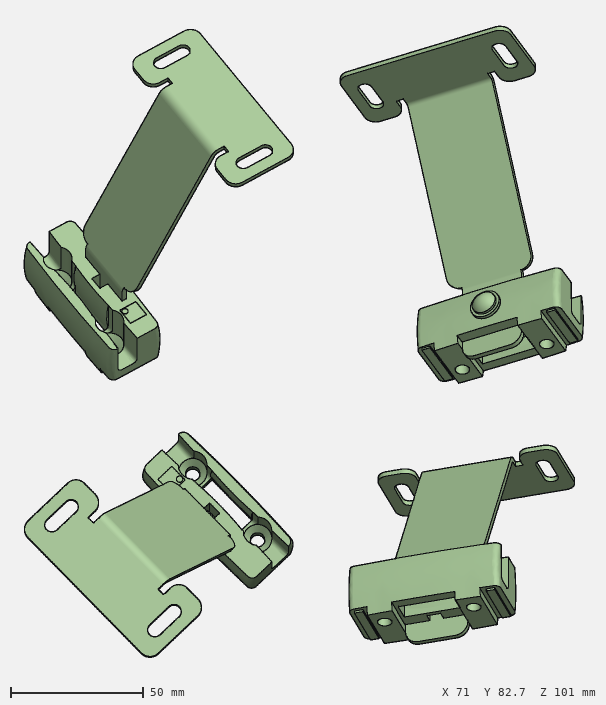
import cadquery as cq
import math


SHEET = 2.0
PLATE_TOP = 92.5
PLATE_WIDTH = 71.0
PLATE_DEPTH = 29.9
PLATE_BACK = 63.7
PLATE_CORNER = 4.5
PLATE_SLOT_WIDTH = 5.5
PLATE_SLOT_LENGTH = 15.6
PLATE_SLOT_X = 28.1
RELIEF_WIDTH = 2.9
RELIEF_TOP = 42.0
ARM_WIDTH = 35.4
ARM_TILT = 29.7
ARM_CORNER = 5.1
ARM_SETBACK = 0.7
TAB_WIDTH = 24.7
TAB_BOTTOM = -8.5
TAB_BEND_Z = 24.6
TAB_CORNER = 5.1
BEND_RADIUS = 3.0

HOUSING_LENGTH = 60.0
HOUSING_TOP = 19.4
HOUSING_FRONT = -19.0
HOUSING_BACK = 6.3
BULGE_Z = 8.9
FRONT_BULGE_RADIUS = 45.5
BACK_BULGE_RADIUS = 50.5
PLAN_RADIUS = 656.6
HOUSING_CORNER = 2.4
FOOT_HEIGHT = 3.3
FOOT_INNER = 12.5
FOOT_OUTER = 22.4
PAD_HEIGHT = 0.9
PAD_INNER = 24.4
PAD_OUTER = 27.9
PAD_FRONT = -16.2
PAD_BACK = 4.1

CHANNEL_Y = -10.2
CHANNEL_FLOOR = 4.4
CHANNEL_END_WIDTH = 8.7
CHANNEL_WALL_RADIUS = 707.1
CHANNEL_FILLET = 1.9
WINDOW_LENGTH = 22.2
WINDOW_TOP_WIDTH = 6.7
WINDOW_WAIST = 5.3
WINDOW_FLOOR_WIDTH = 7.7
WINDOW_PLAN_RADIUS = 151.5
MOUNT_HOLE_X = 17.7
MOUNT_HOLE_DIAMETER = 5.5
COUNTERSINK_DIAMETER = 10.8

POCKET_WIDTH = 5.5
POCKET_FRONT = -4.6

MARKER_SIZE = 7.3
MARKER_X = 19.2
MARKER_Y = -0.5
MARKER_HEIGHT = 0.2
DOT_DIAMETER = 2.4
DOT_X = 17.2
DOT_Y = -2.8
DOT_HEIGHT = 0.4

SCREW_Z = 9.6
SHANK_DIAMETER = 5.0
SHANK_END = -3.2
HEAD_DIAMETER = 9.6
HEAD_RIM = 1.0
HEAD_END = 11.0
WASHER_DIAMETER = 12.0
WASHER_SEAT = 6.1
WASHER_OUTER = 7.4

HALF_SHEET = SHEET / 2
TILT = math.radians(ARM_TILT)
TURN = math.radians(90 - ARM_TILT)
INNER_BEND = BEND_RADIUS - HALF_SHEET
OUTER_BEND = BEND_RADIUS + HALF_SHEET
FOOT_BOTTOM = -FOOT_HEIGHT

LOWER_BEND_Y = BEND_RADIUS
UPPER_BEND_Z = PLATE_TOP - HALF_SHEET - BEND_RADIUS
LOWER_ARM_Y = LOWER_BEND_Y - BEND_RADIUS * math.cos(TILT)
LOWER_ARM_Z = TAB_BEND_Z + BEND_RADIUS * math.sin(TILT)
UPPER_ARM_Z = UPPER_BEND_Z + BEND_RADIUS * math.cos(TURN)
ARM_LENGTH = (UPPER_ARM_Z - LOWER_ARM_Z) / math.cos(TILT)
UPPER_ARM_Y = LOWER_ARM_Y + ARM_LENGTH * math.sin(TILT)
UPPER_BEND_Y = UPPER_ARM_Y + BEND_RADIUS * math.sin(TURN)


def box(x0, x1, y0, y1, z0, z1):
    """Box between two opposite corners."""
    return cq.Workplane("XY").box(x1 - x0, y1 - y0, z1 - z0, centered=False).translate((x0, y0, z0))


def cylinder_y(diameter, y0, y1):
    """Cylinder on the screw axis, from y0 to y1."""
    return (
        cq.Workplane("XZ", origin=(0, y0, SCREW_Z))
        .circle(diameter / 2)
        .extrude(y0 - y1)
    )


def mounting_plate():
    """Flat slotted plate, with two rounded ears beside the bend reliefs."""
    front = PLATE_BACK - PLATE_DEPTH
    bottom = PLATE_TOP - SHEET
    half = PLATE_WIDTH / 2
    plate = box(-half, half, front, PLATE_BACK, bottom, PLATE_TOP)
    gap_half = ARM_WIDTH / 2 + RELIEF_WIDTH
    plate = plate.cut(box(-gap_half, gap_half, front, RELIEF_TOP, bottom, PLATE_TOP))
    plate = plate.edges("|Z").edges("<X or >X or <Y").fillet(PLATE_CORNER)
    neck_half = ARM_WIDTH / 2
    plate = plate.union(box(-neck_half, neck_half, UPPER_BEND_Y, RELIEF_TOP, bottom, PLATE_TOP))
    slots = (
        cq.Workplane("XY", origin=(0, PLATE_BACK - PLATE_DEPTH / 2, bottom))
        .pushPoints([(-PLATE_SLOT_X, 0), (PLATE_SLOT_X, 0)])
        .slot2D(PLATE_SLOT_LENGTH, PLATE_SLOT_WIDTH, 90)
        .extrude(SHEET)
    )
    return plate.cut(slots)


def bend(width, centre_y, centre_z, start, sweep):
    """Sheet bend about an axis along X; angles in radians from +Y towards +Z."""

    def point(radius, angle):
        return (centre_y + radius * math.cos(angle), centre_z + radius * math.sin(angle))

    middle = start + sweep / 2
    end = start + sweep
    return (
        cq.Workplane("YZ", origin=(-width / 2, 0, 0))
        .moveTo(*point(INNER_BEND, start))
        .threePointArc(point(INNER_BEND, middle), point(INNER_BEND, end))
        .lineTo(*point(OUTER_BEND, end))
        .threePointArc(point(OUTER_BEND, middle), point(OUTER_BEND, start))
        .close()
        .extrude(width)
    )


def sloping_arm():
    """Flat arm between the bends: rounded lower corners, and a short neck as wide as the tab."""
    half = ARM_WIDTH / 2
    arm = box(-half, half, -HALF_SHEET, HALF_SHEET, ARM_SETBACK, ARM_LENGTH)
    arm = arm.faces("<Z").edges("|Y").fillet(ARM_CORNER)
    neck_half = TAB_WIDTH / 2
    arm = arm.union(box(-neck_half, neck_half, -HALF_SHEET, HALF_SHEET, 0, ARM_CORNER))
    arm = arm.rotate((0, 0, 0), (1, 0, 0), -ARM_TILT)
    return arm.translate((0, LOWER_ARM_Y, LOWER_ARM_Z))


def tab():
    """Vertical tab that passes through the housing, bored for the screw."""
    half = TAB_WIDTH / 2
    blade = box(-half, half, -HALF_SHEET, HALF_SHEET, TAB_BOTTOM, TAB_BEND_Z)
    blade = blade.faces("<Z").edges("|Y").fillet(TAB_CORNER)
    return blade.cut(cylinder_y(SHANK_DIAMETER, -HALF_SHEET, HALF_SHEET))


def make_bracket():
    upper_bend = bend(ARM_WIDTH, UPPER_BEND_Y, UPPER_BEND_Z, math.pi / 2, TURN)
    lower_bend = bend(TAB_WIDTH, LOWER_BEND_Y, TAB_BEND_Z, math.pi - TILT, TILT)
    return mounting_plate().union(upper_bend).union(sloping_arm()).union(lower_bend).union(tab())


def barrel(side_y, outward, plan_radius, bulge_radius, bulge_z, bottom, top):
    """Large barrel whose outer surface, at side_y, curves both along X and along Z."""

    def radius_at(z):
        rise = z - bulge_z
        return plan_radius - bulge_radius + math.sqrt(bulge_radius**2 - rise**2)

    return (
        cq.Workplane("XZ")
        .moveTo(0, bottom)
        .lineTo(radius_at(bottom), bottom)
        .threePointArc((plan_radius, bulge_z), (radius_at(top), top))
        .lineTo(0, top)
        .close()
        .revolve(360, (0, 0, 0), (0, 1, 0))
        .translate((0, side_y - outward * plan_radius, 0))
    )


def housing_block():
    """Block with bulged long sides, rounded corners and two feet."""
    half = HOUSING_LENGTH / 2
    block = box(-half, half, HOUSING_FRONT, HOUSING_BACK, FOOT_BOTTOM, HOUSING_TOP)
    for side_y, outward, bulge_radius in (
        (HOUSING_FRONT, -1, FRONT_BULGE_RADIUS),
        (HOUSING_BACK, 1, BACK_BULGE_RADIUS),
    ):
        block = block.intersect(
            barrel(side_y, outward, PLAN_RADIUS, bulge_radius, BULGE_Z, FOOT_BOTTOM, HOUSING_TOP)
        )
    block = block.edges("<X or >X").edges("not #Z").fillet(HOUSING_CORNER)
    for x0, x1 in ((-half, -FOOT_OUTER), (-FOOT_INNER, FOOT_INNER), (FOOT_OUTER, half)):
        block = block.cut(box(x0, x1, HOUSING_FRONT, HOUSING_BACK, FOOT_BOTTOM, 0))
    for x0 in (-PAD_OUTER, PAD_INNER):
        block = block.union(box(x0, x0 + PAD_OUTER - PAD_INNER, PAD_FRONT, PAD_BACK, -PAD_HEIGHT, 0))
    return block


def channel_end(side):
    """One end of the channel: walls bowed in plan, floor corners rounded."""
    half_length = HOUSING_LENGTH / 2
    half_width = CHANNEL_END_WIDTH / 2

    def wall(x):
        flare = (half_length**2 - x**2) / (2 * CHANNEL_WALL_RADIUS)
        return half_width - flare

    inner = WINDOW_LENGTH / 2
    middle = (inner + half_length) / 2
    trough = (
        cq.Workplane("XY", origin=(0, CHANNEL_Y, CHANNEL_FLOOR))
        .moveTo(side * inner, wall(inner))
        .threePointArc((side * middle, wall(middle)), (side * half_length, half_width))
        .lineTo(side * half_length, -half_width)
        .threePointArc((side * middle, -wall(middle)), (side * inner, -wall(inner)))
        .close()
        .extrude(HOUSING_TOP - CHANNEL_FLOOR)
    )
    return trough.faces("<Z").edges("not |Y").fillet(CHANNEL_FILLET)


def window():
    """Opening through the floor between two bulged walls, narrowest at its centre."""
    half_length = WINDOW_LENGTH / 2
    half_floor = WINDOW_FLOOR_WIDTH / 2
    half_waist = WINDOW_WAIST / 2
    half_height = (HOUSING_TOP - CHANNEL_FLOOR) / 2
    waist_z = CHANNEL_FLOOR + half_height
    sag = WINDOW_TOP_WIDTH / 2 - half_waist
    wall_radius = (half_height**2 + sag**2) / (2 * sag)
    opening = box(
        -half_length, half_length, CHANNEL_Y - half_floor, CHANNEL_Y + half_floor, 0, HOUSING_TOP
    )
    for side in (-1, 1):
        wall_y = CHANNEL_Y + side * half_waist
        opening = opening.cut(
            barrel(wall_y, -side, WINDOW_PLAN_RADIUS, wall_radius, waist_z, 0, HOUSING_TOP)
        )
    return opening


def mounting_hole(x):
    """Countersunk hole through a foot, with a clearance bore up to the housing top."""
    outer = COUNTERSINK_DIAMETER / 2
    inner = MOUNT_HOLE_DIAMETER / 2
    cone_bottom = CHANNEL_FLOOR - (outer - inner)
    return (
        cq.Workplane("XZ")
        .moveTo(0, FOOT_BOTTOM)
        .lineTo(inner, FOOT_BOTTOM)
        .lineTo(inner, cone_bottom)
        .lineTo(outer, CHANNEL_FLOOR)
        .lineTo(outer, HOUSING_TOP)
        .lineTo(0, HOUSING_TOP)
        .close()
        .revolve(360, (0, 0, 0), (0, 1, 0))
        .translate((x, CHANNEL_Y, 0))
    )


def marker():
    """Low square pad with a round dot, raised from the housing top."""
    pad = (
        cq.Workplane("XY", origin=(MARKER_X, MARKER_Y, HOUSING_TOP))
        .rect(MARKER_SIZE, MARKER_SIZE)
        .extrude(MARKER_HEIGHT)
    )
    dot = (
        cq.Workplane("XY", origin=(DOT_X, DOT_Y, HOUSING_TOP))
        .circle(DOT_DIAMETER / 2)
        .extrude(DOT_HEIGHT)
    )
    return pad.union(dot)


def make_housing():
    housing = housing_block()
    for side in (-1, 1):
        housing = housing.cut(channel_end(side))
    housing = housing.cut(window())
    for x in (-MOUNT_HOLE_X, MOUNT_HOLE_X):
        housing = housing.cut(mounting_hole(x))
    housing = housing.union(marker())

    tab_half = TAB_WIDTH / 2
    housing = housing.cut(box(-tab_half, tab_half, -HALF_SHEET, HALF_SHEET, FOOT_BOTTOM, HOUSING_TOP))
    pocket_half = POCKET_WIDTH / 2
    housing = housing.cut(
        box(-pocket_half, pocket_half, POCKET_FRONT, HALF_SHEET, FOOT_BOTTOM, HOUSING_TOP)
    )

    housing = housing.cut(cylinder_y(WASHER_DIAMETER, WASHER_SEAT, WASHER_OUTER))
    return housing.cut(cylinder_y(SHANK_DIAMETER, HALF_SHEET, WASHER_SEAT))


def make_washer():
    disc = cylinder_y(WASHER_DIAMETER, WASHER_SEAT, WASHER_OUTER)
    return disc.cut(cylinder_y(SHANK_DIAMETER, WASHER_SEAT, WASHER_OUTER))


def make_screw():
    """Shank and domed head, turned about the screw axis."""
    shank = SHANK_DIAMETER / 2
    head = HEAD_DIAMETER / 2
    rim_y = WASHER_OUTER + HEAD_RIM
    dome_height = HEAD_END - rim_y
    dome_radius = (head**2 + dome_height**2) / (2 * dome_height)
    mid_x = head / 2
    mid_y = HEAD_END - dome_radius + math.sqrt(dome_radius**2 - mid_x**2)
    return (
        cq.Workplane("XY", origin=(0, 0, SCREW_Z))
        .moveTo(0, SHANK_END)
        .lineTo(shank, SHANK_END)
        .lineTo(shank, WASHER_OUTER)
        .lineTo(head, WASHER_OUTER)
        .lineTo(head, rim_y)
        .threePointArc((mid_x, mid_y), (0, HEAD_END))
        .close()
        .revolve(360, (0, 0, 0), (0, 1, 0))
    )


bracket = make_bracket()
housing = make_housing()
washer = make_washer()
screw = make_screw()

result = cq.Compound.makeCompound([bracket.val(), housing.val(), washer.val(), screw.val()])